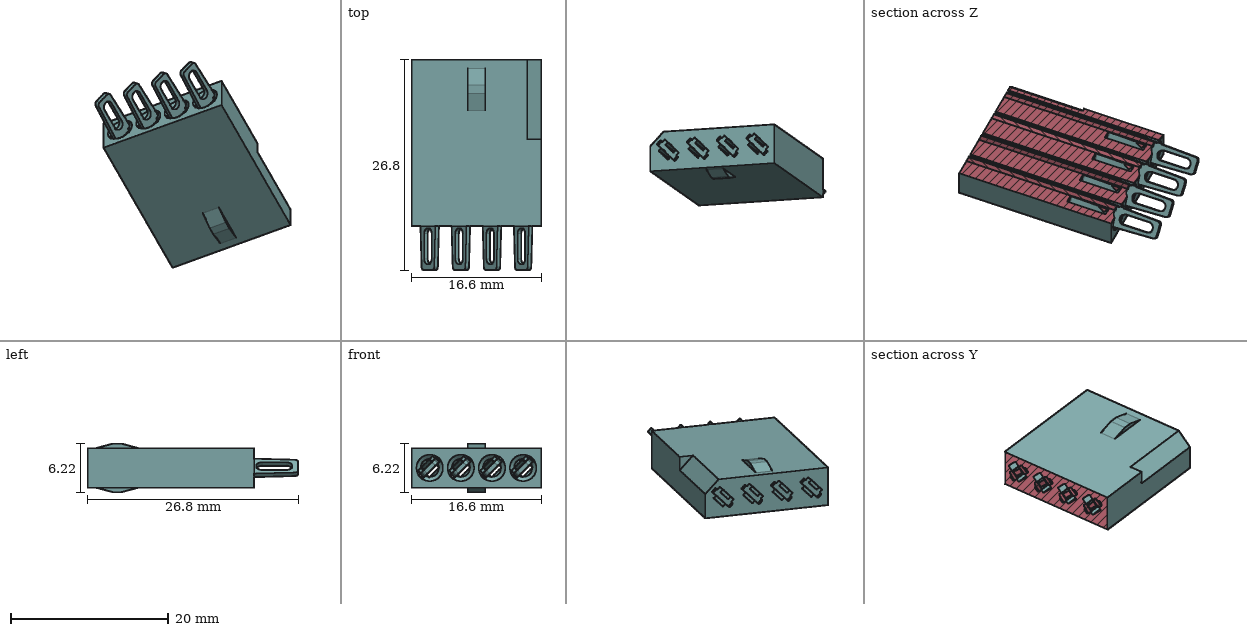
import cadquery as cq
import math

overall_length = 26.8
overall_height = 6.22
housing_width = 16.55
housing_length = 21.2
housing_height = 5.07

bevel_size = 1.8
bevel_length = 10.1

ridge_width = 2.25
ridge_setback = 1.07
ridge_ramp_length = 2.15
ridge_crest_length = 1.07
ridge_height = (overall_height - housing_height) / 2

terminal_count = 4
terminal_pitch = 3.97
terminal_turn = -45.0

mouth_radius = 1.7
throat_radius = 1.15
funnel_depth = mouth_radius - throat_radius

blade_thickness = 0.67
blade_width = 2.9
blade_tip_width = 2.28
taper_start = 2.47
tip_radius = 0.43
tab_length = overall_length - housing_length

eye_width = 1.35
eye_length = 4.58
eye_gap = 0.27

flange_inside = 0.75
flange_outside = 1.31
flange_top = 0.8

lance_width = 1.4
lance_radius = 12.06
lance_angle = 26.0
lip_thickness = 0.8
lance_tip_y = funnel_depth + lip_thickness
lance_root_y = lance_tip_y + lance_radius * math.sin(math.radians(lance_angle))

lower_channel_width = 1.77
channel_depth = 0.8
lance_pocket_width = 2 * flange_inside
lance_pocket_top = 1.6


def box(x_min, x_max, y_min, y_max, z_min, z_max):
    """Box between the given limits."""
    size = (x_max - x_min, y_max - y_min, z_max - z_min)
    return cq.Workplane("XY").box(*size, centered=False).translate((x_min, y_min, z_min))


def centred_box(width, y_min, y_max, z_min, z_max):
    """Box centred on x = 0."""
    return box(-width / 2, width / 2, y_min, y_max, z_min, z_max)


def place_terminal_shape(shape, index):
    """Turn a shape about the Y axis and move it to its place in the row."""
    x = (index - (terminal_count - 1) / 2) * terminal_pitch
    return shape.rotate((0, 0, 0), (0, 1, 0), terminal_turn).translate((x, 0, 0))


def make_ridge():
    """Latch ridge on the top face: a ramp, a flat crest and a ramp."""
    y_end = housing_length - ridge_setback
    base = housing_height / 2
    crest = base + ridge_height
    crest_end = y_end - ridge_ramp_length
    crest_start = crest_end - ridge_crest_length
    y_start = crest_start - ridge_ramp_length
    profile = [(y_start, base), (crest_start, crest), (crest_end, crest), (y_end, base)]
    return cq.Workplane("YZ").polyline(profile).close().extrude(ridge_width / 2, both=True)


def make_bevel_cutter():
    """Triangular prism that bevels the front part of the upper +X edge."""
    side = housing_width / 2
    top = housing_height / 2
    corner = [(side - bevel_size, top), (side, top), (side, top - bevel_size)]
    prism = cq.Workplane("XZ").polyline(corner).close().extrude(-bevel_length)
    return prism.translate((0, housing_length - bevel_length, 0))


def make_cavity():
    """Space that one terminal takes in the housing: funnel, passage and lance pocket."""
    funnel = (
        cq.Workplane("XY")
        .polyline([(0, 0), (mouth_radius, 0), (throat_radius, funnel_depth), (0, funnel_depth)])
        .close()
        .revolve(360, (0, 0, 0), (0, 1, 0))
    )
    half_blade = blade_thickness / 2
    bore = cq.Workplane("XZ").circle(mouth_radius).extrude(-housing_length)
    blade_slot = bore.intersect(
        centred_box(2 * mouth_radius, 0, housing_length, -half_blade, half_blade)
    )
    lower_channel = centred_box(lower_channel_width, 0, housing_length, -channel_depth, 0)
    flange_channel = centred_box(2 * flange_outside, 0, housing_length, 0, flange_top)
    lance_pocket = centred_box(lance_pocket_width, lance_tip_y, lance_root_y, 0, lance_pocket_top)
    return funnel.union(blade_slot).union(lower_channel).union(flange_channel).union(lance_pocket)


def make_housing():
    """Block with two latch ridges, the bevelled edge and a row of cavities."""
    body = centred_box(housing_width, 0, housing_length, -housing_height / 2, housing_height / 2)
    ridge = make_ridge()
    body = body.union(ridge).union(ridge.mirror("XY"))
    body = body.cut(make_bevel_cutter())
    cavity = make_cavity()
    for index in range(terminal_count):
        body = body.cut(place_terminal_shape(cavity, index))
    return body


def make_blade():
    """Flat blade that narrows to a rounded tip, with the wire eye and the lance window."""
    half_width = blade_width / 2
    half_tip = blade_tip_width / 2
    outline = [
        (-half_width, housing_length),
        (half_width, housing_length),
        (half_width, taper_start),
        (half_tip, -tab_length),
        (-half_tip, -tab_length),
        (-half_width, taper_start),
    ]
    blade = cq.Workplane("XY").polyline(outline).close().extrude(blade_thickness / 2, both=True)
    blade = blade.faces("<Y").edges("|Z").fillet(tip_radius)
    eye = (
        cq.Workplane("XY")
        .center(0, -eye_gap - eye_length / 2)
        .slot2D(eye_length, eye_width, 90)
        .extrude(blade_thickness, both=True)
    )
    window = centred_box(
        2 * flange_inside, lance_tip_y, lance_root_y, -blade_thickness, blade_thickness
    )
    return blade.cut(eye).cut(window)


def make_lance():
    """Curved tongue that leaves the blade at its root and rises towards the rear."""
    centre_z = lance_radius - blade_thickness / 2
    upper_radius = lance_radius - blade_thickness

    def arc_point(radius, angle):
        turn = math.radians(angle)
        return (lance_root_y - radius * math.sin(turn), centre_z - radius * math.cos(turn))

    return (
        cq.Workplane("YZ")
        .moveTo(*arc_point(lance_radius, 0))
        .threePointArc(arc_point(lance_radius, lance_angle / 2), arc_point(lance_radius, lance_angle))
        .lineTo(*arc_point(upper_radius, lance_angle))
        .threePointArc(arc_point(upper_radius, lance_angle / 2), arc_point(upper_radius, 0))
        .close()
        .extrude(lance_width / 2, both=True)
    )


def make_terminal():
    """Blade with its lance and two flanges, lying along the Y axis."""
    flange = box(flange_inside, flange_outside, funnel_depth, housing_length, 0, flange_top)
    terminal = make_blade().union(make_lance())
    return terminal.union(flange).union(flange.mirror("YZ"))


housing = make_housing()
terminal = make_terminal()
terminals = [place_terminal_shape(terminal, index) for index in range(terminal_count)]

result = cq.Compound.makeCompound(
    [housing.solids().val(), *[placed.solids().val() for placed in terminals]]
)